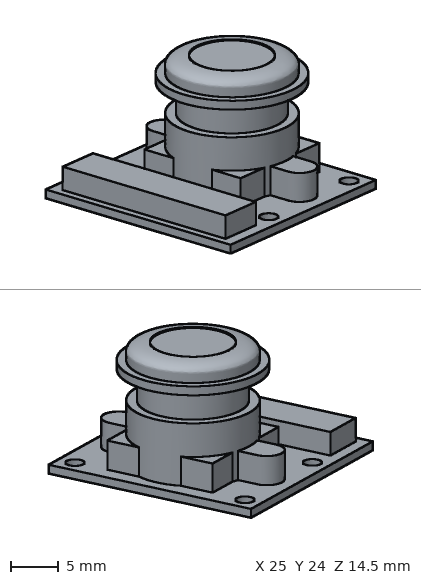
import cadquery as cq

plate_length = 25
plate_width = 24
plate_thickness = 1

hole_diameter = 2
hole_edge_gap = 2
hole_x = plate_length / 2 - hole_edge_gap
rear_hole_y = plate_width / 2 - hole_edge_gap
front_hole_y = rear_hole_y - 13.25

bar_length = 22
bar_width = 5
bar_top = 3.62
bar_edge_gap = 1
bar_y = -plate_width / 2 + bar_edge_gap + bar_width / 2

lens_y = 3.5
feet_top = 4.25
block_size = 3.9
block_spread = 13
block_offset = (block_spread - block_size) / 2
lug_span = 22
lug_width = 3.75

holder_radius = 7
holder_top = 8
neck_radius = 5.88
flange_radius = 8
flange_thickness = 1
flange_top = 12.5
flange_bottom = flange_top - flange_thickness
rim_top = 13.5
crown_top = 14.5
window_radius = 4.5
window_depth = 0.12


def make_plate():
    plate = cq.Workplane("XY").box(
        plate_length, plate_width, plate_thickness, centered=(True, True, False)
    )
    hole_centers = [(side * hole_x, y) for side in (-1, 1) for y in (front_hole_y, rear_hole_y)]
    return plate.faces(">Z").workplane().pushPoints(hole_centers).hole(hole_diameter)


def make_connector_bar():
    return cq.Workplane("XY").center(0, bar_y).rect(bar_length, bar_width).extrude(bar_top)


def make_feet():
    base = cq.Workplane("XY").center(0, lens_y)
    blocks = (
        base.rect(2 * block_offset, 2 * block_offset, forConstruction=True)
        .vertices()
        .rect(block_size, block_size)
        .extrude(feet_top)
    )
    lugs = base.slot2D(lug_span, lug_width).extrude(feet_top)
    return blocks.union(lugs)


def make_lens():
    crown_width = holder_radius - window_radius
    crown_height = crown_top - rim_top
    profile = (
        cq.Workplane("XZ", origin=(0, lens_y, 0))
        .lineTo(holder_radius, 0)
        .lineTo(holder_radius, holder_top)
        .lineTo(neck_radius, holder_top)
        .lineTo(neck_radius, flange_bottom)
        .lineTo(flange_radius, flange_bottom)
        .lineTo(flange_radius, flange_top)
        .lineTo(holder_radius, flange_top)
        .lineTo(holder_radius, rim_top)
        .ellipseArc(crown_width, crown_height, 0, 90, startAtCurrent=True)
        .lineTo(window_radius, crown_top - window_depth)
        .lineTo(0, crown_top - window_depth)
        .close()
    )
    return profile.revolve(360, (0, 0, 0), (0, 1, 0))


result = make_plate().union(make_connector_bar()).union(make_feet()).union(make_lens())